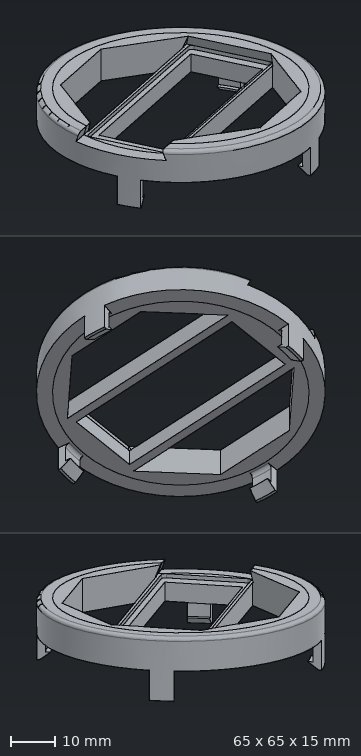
import cadquery as cq
import math

outer_radius = 32.5
ring_height = 8.0
edge_fillet = 1.0
dial_radius = 28.85

leg_length = 7.0
leg_count = 4
leg_angle = 10.0
first_leg_angle = -90.0
leg_inner_radius = 30.5
leg_root_fillet = 1.0
hook_tip_radius = 29.25
hook_ledge_height = 1.9
hook_toe_radius = 31.8

octagon_apothem = 25.0
octagon_half_side = octagon_apothem * math.tan(math.pi / 8)

slot_depth = 2.55
slot_floor = ring_height - slot_depth
dovetail_flare = 0.9
slot_end_floor = octagon_apothem + dovetail_flare

frame_half_width = 11.1
ledge_depth = 1.0
pocket_front = -27.0
pocket_corner_radius = 1.0
window_half_width = 9.0
window_half_length = 23.5


def arc_middle_offset(radius):
    """Distance of a quarter arc's middle from each of the two sides it rounds."""
    return radius * (1 - math.sqrt(0.5))


def box_between(x_min, x_max, y_min, y_max, z_min, z_max):
    size = (x_max - x_min, y_max - y_min, z_max - z_min)
    return cq.Workplane("XY").box(*size, centered=False).translate((x_min, y_min, z_min))


def make_slot():
    """Dovetail slot, undercut along both sides and at its closed +Y end."""
    front = -outer_radius - edge_fillet

    def outline(height, half_width, end):
        length = end - front
        plane = cq.Workplane("XY", origin=(0, front + length / 2, height))
        return plane.rect(2 * half_width, length).val()

    floor = outline(slot_floor, octagon_half_side + dovetail_flare, slot_end_floor)
    top = outline(ring_height, octagon_half_side, octagon_apothem)
    return cq.Workplane(cq.Solid.makeLoft([floor, top], True))


def make_rim_blank():
    """Ring with a rounded top edge and a hooked skirt all the way round."""
    edge_offset = arc_middle_offset(edge_fillet)
    root_offset = arc_middle_offset(leg_root_fillet)
    hook_ledge = hook_ledge_height - leg_length
    return (
        cq.Workplane("XZ")
        .moveTo(dial_radius, 0)
        .lineTo(dial_radius, ring_height)
        .lineTo(outer_radius - edge_fillet, ring_height)
        .threePointArc(
            (outer_radius - edge_offset, ring_height - edge_offset),
            (outer_radius, ring_height - edge_fillet),
        )
        .lineTo(outer_radius, -leg_length)
        .lineTo(hook_toe_radius, -leg_length)
        .lineTo(hook_tip_radius, hook_ledge)
        .lineTo(leg_inner_radius, hook_ledge)
        .lineTo(leg_inner_radius, -leg_root_fillet)
        .threePointArc(
            (leg_inner_radius - root_offset, -root_offset),
            (leg_inner_radius - leg_root_fillet, 0),
        )
        .close()
        .revolve(360, (0, 0, 0), (0, 1, 0))
    )


def make_leg_gap():
    """Sector of skirt to remove between two legs, starting at the +X axis."""
    gap_angle = 360 / leg_count - leg_angle
    gap_width = outer_radius + edge_fillet
    return (
        cq.Workplane("XZ")
        .moveTo(0, 0)
        .lineTo(gap_width, 0)
        .lineTo(gap_width, -leg_length)
        .lineTo(0, -leg_length)
        .close()
        .revolve(gap_angle, (0, 0, 0), (0, 1, 0))
    )


def make_rim():
    """Outer ring with its snap legs, notched by the dovetail slot."""
    rim = make_rim_blank()
    for i in range(leg_count):
        gap_start = first_leg_angle + leg_angle + i * 360 / leg_count
        rim = rim.cut(make_leg_gap().rotate((0, 0, 0), (0, 0, 1), gap_start))
    return rim.cut(make_slot())


def make_dial():
    """Disc with an octagonal window, crossed by a frame that carries the slot."""
    octagon = (
        cq.Workplane("XY")
        .polygon(8, 2 * octagon_apothem, circumscribed=True)
        .extrude(ring_height)
    )
    frame = box_between(
        -frame_half_width, frame_half_width, -slot_end_floor, slot_end_floor, 0, slot_floor
    )
    pocket = box_between(
        -octagon_half_side, octagon_half_side, pocket_front, slot_end_floor,
        slot_floor - ledge_depth, slot_floor,
    ).edges("|Z").fillet(pocket_corner_radius)
    window = box_between(
        -window_half_width, window_half_width, -window_half_length, window_half_length,
        0, slot_floor,
    )
    disc = cq.Workplane("XY").circle(dial_radius).extrude(ring_height)
    return disc.cut(octagon).union(frame).cut(make_slot()).cut(pocket).cut(window)


rim = make_rim()
dial = make_dial()

result = cq.Compound.makeCompound([rim.val(), dial.val()])